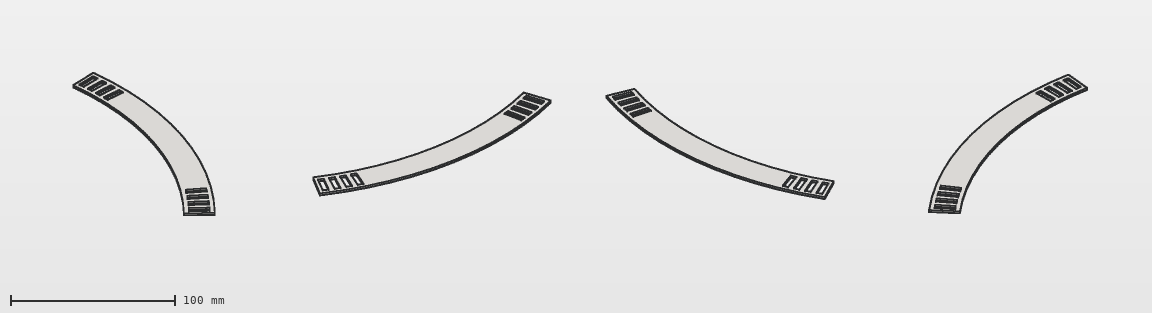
import cadquery as cq
import math

span = 175.6
depth = 36.0
thickness = 1.6
outer_radius = 214.2

half_angle = math.asin(span / 2 / outer_radius)
inner_radius = (outer_radius - depth) / math.cos(half_angle)
middle_radius = (outer_radius + inner_radius) / 2

slot_length = 12.6
slot_width = 3.7
slot_count = 4
first_slot_angle = 17.0
slot_pitch_angle = 2.0


def arc_point(radius, angle):
    """Point at an angle in radians, measured clockwise from the Y axis."""
    return (radius * math.sin(angle), radius * math.cos(angle))


def make_strip():
    return (
        cq.Workplane("XY")
        .moveTo(*arc_point(outer_radius, -half_angle))
        .threePointArc((0, outer_radius), arc_point(outer_radius, half_angle))
        .lineTo(*arc_point(inner_radius, half_angle))
        .threePointArc((0, inner_radius), arc_point(inner_radius, -half_angle))
        .close()
        .extrude(thickness)
    )


def make_slot(angle):
    """Rectangular through slot, turned clockwise to lie along a radius."""
    return (
        cq.Workplane("XY")
        .center(0, middle_radius)
        .rect(slot_width, slot_length)
        .extrude(thickness)
        .rotate((0, 0, 0), (0, 0, 1), -angle)
    )


result = make_strip()
for index in range(slot_count):
    slot_angle = first_slot_angle + index * slot_pitch_angle
    for side in (-1, 1):
        result = result.cut(make_slot(side * slot_angle))